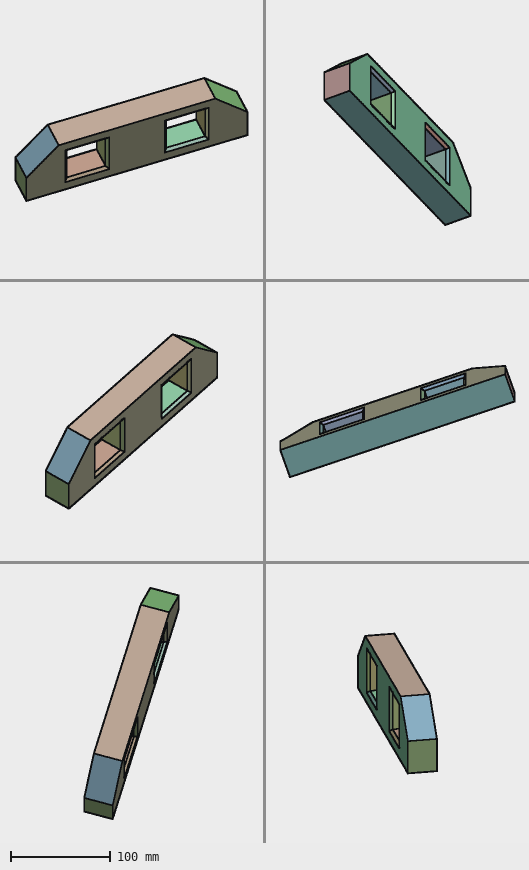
import cadquery as cq

length = 240.0
thickness = 30.0
height = 70.0
corner_cut = height / 2

window_size = 42.0
mouth_size = 48.0
window_spacing = 108.0
bevel = (mouth_size - window_size) / 2


def make_body():
    """Bar along Y with both upper corners cut off."""
    half = length / 2
    outline = [
        (-half, 0),
        (half, 0),
        (half, height - corner_cut),
        (half - corner_cut, height),
        (-half + corner_cut, height),
        (-half, height - corner_cut),
    ]
    return cq.Workplane("YZ").polyline(outline).close().extrude(thickness)


def make_flare(y_center, face_x, inward):
    """Bevelled rim narrowing from the mouth at face_x; inward is the X direction into the body."""
    return (
        cq.Workplane("YZ", origin=(face_x, y_center, height / 2))
        .rect(mouth_size, mouth_size)
        .workplane(offset=inward * bevel)
        .rect(window_size, window_size)
        .loft(ruled=True)
    )


def make_window(y_center):
    """Square through opening that flares out to a mouth at each face."""
    opening = (
        cq.Workplane("YZ", origin=(0, y_center, height / 2))
        .rect(window_size, window_size)
        .extrude(thickness)
    )
    near_flare = make_flare(y_center, 0, 1)
    far_flare = make_flare(y_center, thickness, -1)
    return opening.union(near_flare).union(far_flare)


result = make_body()
for side in (-1, 1):
    result = result.cut(make_window(side * window_spacing / 2))